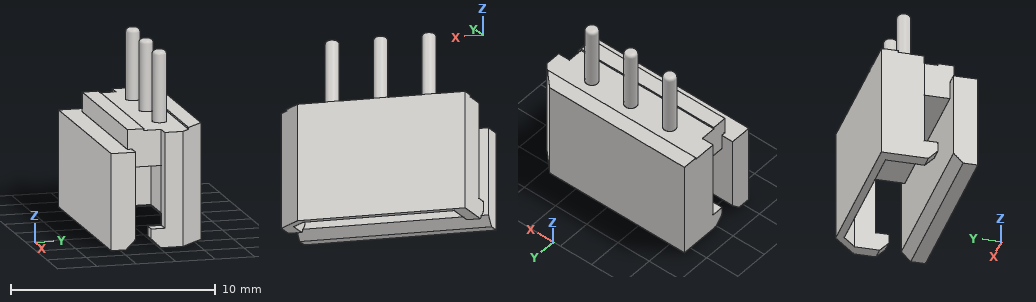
import cadquery as cq
import math

length = 9.9
depth = 4.9
height = 9.4
body_top = 5.88
half_length = length / 2

rear_depth = 2.18
hook_reach = 0.69
hook_height = 0.98
foot_chamfer = 0.49
corner_chamfer = 1.26

front_thickness = 1.24
front_height = 4.89
bridge_front = -3.89
bridge_bottom = 3.98
end_wall = 0.69
bridge_length = length - 2 * end_wall

channel_depth = 0.09
channel_back = -0.87
channel_front = -3.05

back_wall = 0.4

pin_count = 3
pin_pitch = 2.49
pin_diameter = 0.71
pin_y = -1.79
pin_tip_radius = 0.2


def extrude_along_x(points, width):
    """Extrude a closed (Y, Z) outline symmetrically about X = 0."""
    return cq.Workplane("YZ").polyline(points).close().extrude(width / 2, both=True)


def box_between(x_range, y_range, z_range):
    size = [high - low for low, high in (x_range, y_range, z_range)]
    corner = (x_range[0], y_range[0], z_range[0])
    return cq.Workplane("XY").box(*size, centered=False).translate(corner)


def corner_prism(x, y, leg, prism_height):
    """Triangular prism filling the +X, +Y corner at (x, y)."""
    points = [(x, y), (x - leg, y), (x, y - leg)]
    return cq.Workplane("XY").polyline(points).close().extrude(prism_height)


def rear_block():
    hook_tip = -rear_depth - hook_reach
    outline = [
        (0, 0),
        (0, body_top),
        (-rear_depth, body_top),
        (-rear_depth, hook_height),
        (hook_tip, hook_height),
        (hook_tip, foot_chamfer),
        (hook_tip + foot_chamfer, 0),
    ]
    return extrude_along_x(outline, length)


def front_wall():
    inner_face = -depth + front_thickness
    outline = [
        (-depth, 0),
        (-depth, front_height),
        (inner_face, front_height),
        (inner_face, foot_chamfer),
        (inner_face - foot_chamfer, 0),
    ]
    return extrude_along_x(outline, length)


def bridge():
    half_bridge = bridge_length / 2
    return box_between(
        (-half_bridge, half_bridge), (bridge_front, -rear_depth), (bridge_bottom, body_top)
    )


def cavity():
    half_cavity = bridge_length / 2
    room = box_between(
        (-half_cavity, half_cavity), (-depth + front_thickness, -back_wall), (0, bridge_bottom)
    )
    inner_leg = corner_chamfer + math.sqrt(2) * back_wall - end_wall - back_wall
    return room.cut(corner_prism(half_cavity, -back_wall, inner_leg, bridge_bottom))


def top_channel():
    return box_between(
        (-half_length, half_length),
        (channel_front, channel_back),
        (body_top - channel_depth, body_top),
    )


def pin(x):
    base = body_top - channel_depth
    rod = cq.Workplane("XY").circle(pin_diameter / 2).extrude(height - base)
    return rod.faces(">Z").edges().fillet(pin_tip_radius).translate((x, pin_y, base))


result = rear_block().union(bridge()).cut(cavity()).union(front_wall())
result = result.cut(top_channel())
result = result.cut(corner_prism(half_length, 0, corner_chamfer, body_top))
for index in range(pin_count):
    result = result.union(pin((index - (pin_count - 1) / 2) * pin_pitch))